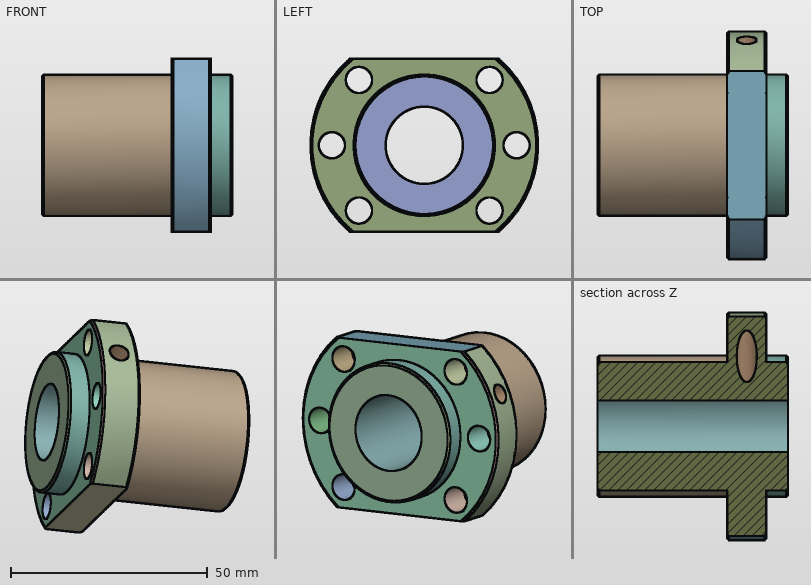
import cadquery as cq
import math

total_length = 48.5
body_diameter = 36.0
bore_diameter = 19.6
edge_chamfer = 0.5

flange_diameter = 58.0
flange_start = 33.0
flange_thickness = 10.0
flange_flat_width = 44.0

bolt_hole_diameter = 6.6
bolt_circle_diameter = 47.0
bolt_angles = (0, 45, 135, 180, 225, 315)

oil_hole_diameter = 5.0
oil_hole_angle = 22.5


def chamfered_disc(start, length, diameter):
    """Cylinder along X with both rims chamfered."""
    disc = cq.Workplane("YZ").workplane(offset=start).circle(diameter / 2).extrude(length)
    return disc.edges("%CIRCLE").chamfer(edge_chamfer)


def make_flange():
    """Round flange trimmed by two flats, which keep sharp edges."""
    disc = chamfered_disc(flange_start, flange_thickness, flange_diameter)
    flats = (
        cq.Workplane("YZ")
        .workplane(offset=flange_start)
        .rect(flange_diameter, flange_flat_width)
        .extrude(flange_thickness)
    )
    return disc.intersect(flats)


def make_bolt_holes():
    """Axial hole cutters through the flange."""
    radius = bolt_circle_diameter / 2
    centers = [
        (radius * math.cos(math.radians(angle)), radius * math.sin(math.radians(angle)))
        for angle in bolt_angles
    ]
    return (
        cq.Workplane("YZ")
        .workplane(offset=flange_start)
        .pushPoints(centers)
        .circle(bolt_hole_diameter / 2)
        .extrude(flange_thickness)
    )


def make_oil_hole():
    """Radial hole cutter from the axis out through the flange rim."""
    angle = math.radians(oil_hole_angle)
    return cq.Workplane(
        cq.Solid.makeCylinder(
            oil_hole_diameter / 2,
            flange_diameter / 2,
            cq.Vector(flange_start + flange_thickness / 2, 0, 0),
            cq.Vector(0, math.cos(angle), math.sin(angle)),
        )
    )


body = chamfered_disc(0, total_length, body_diameter)
bore = cq.Workplane("YZ").circle(bore_diameter / 2).extrude(total_length)

result = body.union(make_flange()).cut(bore).cut(make_bolt_holes()).cut(make_oil_hole())